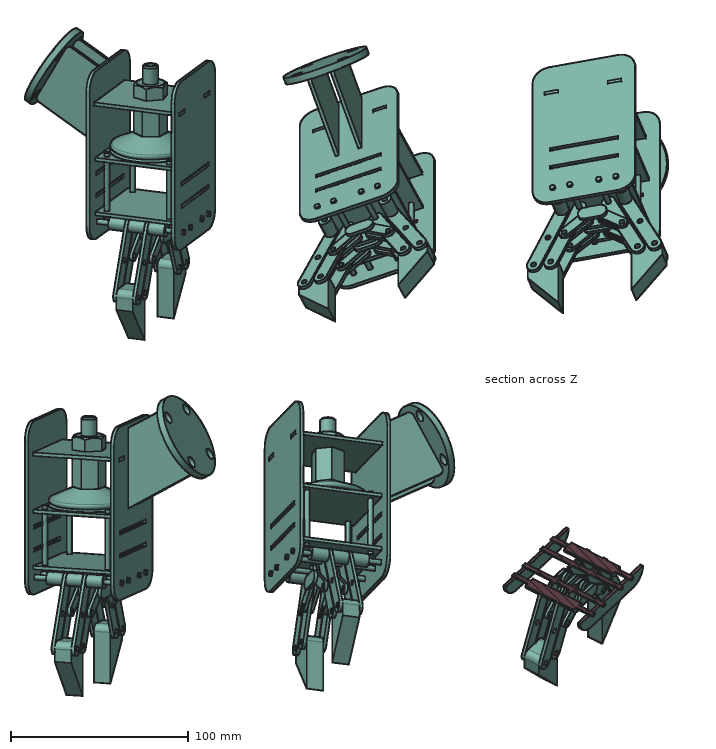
import cadquery as cq
import math

sheet = 2.0
pin_dia = 3.0
tilt = 30.0

frame_width = 54.0
side_depth = 60.0
side_bottom = -10.5
side_height = 99.5
side_corner = 10.0
inner_half = frame_width / 2 - sheet
top_plate_depth = 45.0
top_plate_y = -0.5
top_plate_bottom = 69.2
tenon_length = 8.0
top_plate_top = top_plate_bottom + sheet
slot_length = 40.0
slot_y = 0.25
slot_heights = (15.0, 28.2)

flange_dia = 50.0
flange_thickness = 4.0
flange_face_x = -60.77
flange_face_z = 82.67
flange_hole_dia = 6.5
flange_hole_pitch = 28.3
bracket_width = 40.0
bracket_corner = 3.0
bracket_spacing = 14.0

actuator_x = -0.25
actuator_y = 0.2
stem_dia = 9.0
stem_top = 89.6
stem_chamfer = 1.0
stem_bore = 5.0
nut_height = 8.0
nut_flats = 17.2
nut_turn = 38.0
nut_face_dia = 16.0
nut_chamfer = 1.2
body_flats = 16.6
body_turn = 24.0
body_bottom = 49.6
diaphragm_dia = 45.4
rim_top = 43.3
rim_bottom = 40.6
rim_bulge = 0.7
waist_dia = 41.8
waist_z = 40.0
foot_dia = 45.8
lip_edge = 0.3

carriage_size = 48.0
carriage_y = 0.2
carriage_top = 38.8
carriage_plate_gap = 30.2
rod_pitch = 38.0
rod_proud = 2.1
rod_tail = 1.5
carriage_bottom = carriage_top - carriage_plate_gap - 2 * sheet

grip_y = 0.5
axle_z = -0.8
axle_length = 56.2
inner_axle = 8.5
pivot_pitch = 10.0
link_length = 40.0
link_angle = 25.0
link_radius = 4.0
link_x = 6.0
tube_length = 34.0
tube_dia = 7.5
jaw_width = 2 * link_x - sheet
jaw_heel = 7.5
jaw_reach = 29.5
push_radius = 3.0
lug_radius = 4.0
lug_y = 4.4
lug_z = -9.2

half_side = math.radians(30)


def hexagon(flats, height, bottom, turn):
    """Hexagonal prism centred on the z axis, with a corner at angle `turn`."""
    corners = flats / math.cos(half_side)
    prism = cq.Workplane("XY").polygon(6, corners).extrude(height)
    return prism.rotate((0, 0, 0), (0, 0, 1), turn).translate((0, 0, bottom))


def bar(start, end, radius, x_middle, length=sheet):
    """Round-ended bar between two (y, z) points, `length` thick along x."""
    dy = end[0] - start[0]
    dz = end[1] - start[1]
    span = math.hypot(dy, dz)
    blank = cq.Workplane("YZ").slot2D(span + 2 * radius, 2 * radius).extrude(length / 2, both=True)
    blank = blank.rotate((0, 0, 0), (1, 0, 0), math.degrees(math.atan2(dz, dy)))
    return blank.translate((x_middle, (start[0] + end[0]) / 2, (start[1] + end[1]) / 2))


def rod_x(y, z, dia, length):
    """Cylinder along x, centred on x = 0."""
    return cq.Workplane("YZ").center(y, z).circle(dia / 2).extrude(length / 2, both=True)


def make_side_plate(x_middle):
    plate = cq.Workplane("XY").box(sheet, side_depth, side_height).edges("|X").fillet(side_corner)
    plate = plate.translate((x_middle, 0, side_bottom + side_height / 2))
    for z in slot_heights:
        plate = plate.cut(cq.Workplane("XY").box(sheet, slot_length, sheet).translate((x_middle, slot_y, z)))
    return plate


def make_flange():
    """Drilled disc and two bracket plates joining it to the left side plate."""
    face = cq.Plane(
        origin=(flange_face_x, 0, flange_face_z),
        xDir=(0, 1, 0),
        normal=(math.cos(math.radians(tilt)), 0, -math.sin(math.radians(tilt))),
    )
    disc = cq.Workplane(face).circle(flange_dia / 2).extrude(flange_thickness)
    holes = (
        cq.Workplane(face)
        .rect(flange_hole_pitch, flange_hole_pitch, forConstruction=True)
        .vertices()
        .circle(flange_hole_dia / 2)
        .extrude(flange_thickness)
    )
    flange = disc.cut(holes)

    bracket_length = 2 * bracket_width
    inboard = cq.Workplane("XY").box(frame_width, side_depth, 2 * side_height)
    inboard = inboard.translate((0, 0, top_plate_bottom))
    for y in (-bracket_spacing / 2, bracket_spacing / 2):
        bracket = (
            cq.Workplane(face)
            .workplane(offset=flange_thickness)
            .center(y, 0)
            .rect(sheet, bracket_width)
            .extrude(bracket_length)
            .edges("|Y")
            .fillet(bracket_corner)
        )
        flange = flange.union(bracket.cut(inboard))
    return flange


def make_top_plate():
    """Plate between the side plates, with end tenons flush with their outer faces."""
    plate = cq.Workplane("XY").box(2 * inner_half, top_plate_depth, sheet)
    tenon_y = (top_plate_depth - tenon_length) / 2
    for y in (-tenon_y, tenon_y):
        plate = plate.union(cq.Workplane("XY").box(frame_width, tenon_length, sheet).translate((0, y, 0)))
    plate = plate.translate((0, top_plate_y, top_plate_bottom + sheet / 2))
    stem_hole = cq.Workplane("XY").workplane(offset=top_plate_bottom).center(actuator_x, actuator_y)
    return plate.cut(stem_hole.circle(stem_dia / 2).extrude(sheet))


def make_actuator():
    """Stem on a hexagonal body that flares into a round diaphragm, with its nut."""
    neck = body_flats / 2
    rim = diaphragm_dia / 2
    foot = foot_dia / 2
    waist = waist_dia / 2
    diaphragm = (
        cq.Workplane("XZ")
        .moveTo(0, carriage_top)
        .lineTo(foot, carriage_top)
        .lineTo(foot, carriage_top + lip_edge)
        .lineTo(waist, waist_z)
        .lineTo(rim - rim_bulge, rim_bottom)
        .threePointArc((rim, (rim_bottom + rim_top) / 2), (rim - rim_bulge, rim_top))
        .lineTo(neck, body_bottom)
        .lineTo(0, body_bottom)
        .close()
        .revolve(360, (0, 0, 0), (0, 1, 0))
    )
    body = hexagon(body_flats, top_plate_bottom - body_bottom, body_bottom, body_turn)
    stem = cq.Workplane("XY").workplane(offset=top_plate_bottom).circle(stem_dia / 2)
    stem = stem.extrude(stem_top - top_plate_bottom).faces(">Z").chamfer(stem_chamfer)
    bore = cq.Workplane("XY").workplane(offset=carriage_top).circle(stem_bore / 2)
    bore = bore.extrude(stem_top - carriage_top)
    actuator = diaphragm.union(body).union(stem).union(make_nut()).cut(bore)
    return actuator.translate((actuator_x, actuator_y, 0))


def make_nut():
    """Hexagonal nut with a chamfered crown, seated on the top plate."""
    corner_radius = nut_flats / 2 / math.cos(half_side)
    face_radius = nut_face_dia / 2
    crown = (
        cq.Workplane("XZ")
        .polyline([
            (stem_dia / 2, 0),
            (corner_radius, 0),
            (corner_radius, nut_height - nut_chamfer),
            (face_radius, nut_height),
            (stem_dia / 2, nut_height),
        ])
        .close()
        .revolve(360, (0, 0, 0), (0, 1, 0))
    )
    nut = hexagon(nut_flats, nut_height, 0, nut_turn).intersect(crown)
    return nut.translate((0, 0, top_plate_top))


def make_carriage():
    carriage = cq.Workplane("XY")
    for bottom in (carriage_bottom, carriage_top - sheet):
        plate = cq.Workplane("XY").workplane(offset=bottom).rect(carriage_size, carriage_size).extrude(sheet)
        carriage = carriage.union(plate)
    rods = (
        cq.Workplane("XY")
        .workplane(offset=carriage_bottom - rod_tail)
        .rect(rod_pitch, rod_pitch, forConstruction=True)
        .vertices()
        .circle(pin_dia / 2)
        .extrude(carriage_top + rod_proud - carriage_bottom + rod_tail)
    )
    return carriage.union(rods).translate((0, carriage_y, 0))


def axle_positions():
    return [(inner_axle, axle_z), (inner_axle + pivot_pitch, axle_z)]


def make_axles():
    """The two axles of the +y gripper, measured from the closing plane."""
    axles = cq.Workplane("XY")
    for y, z in axle_positions():
        axles = axles.union(rod_x(y, z, pin_dia, axle_length))
    return axles


def make_jaw(inner_y, outer_y, pivot_z):
    """Blade under the two jaw pivots, rounded round them and pointed below."""
    inner_face = inner_y - link_radius
    outer_face = outer_y + link_radius
    top = pivot_z + link_radius
    reach = link_radius / math.sqrt(2)
    return (
        cq.Workplane("YZ")
        .moveTo(inner_face, pivot_z)
        .threePointArc((inner_y - reach, pivot_z + reach), (inner_y, top))
        .lineTo(outer_y, top)
        .threePointArc((outer_y + reach, pivot_z + reach), (outer_face, pivot_z))
        .lineTo(outer_face, pivot_z - jaw_heel)
        .lineTo(inner_face, pivot_z - jaw_reach)
        .close()
        .extrude(jaw_width / 2, both=True)
    )


def make_gripper():
    """Gripper on the +y side, measured from the closing plane."""
    lean = math.radians(link_angle)
    pivots = []
    middles = []
    for y, z in axle_positions():
        pivots.append((y + link_length * math.sin(lean), z - link_length * math.cos(lean)))
        middles.append((y + link_length / 2 * math.sin(lean), z - link_length / 2 * math.cos(lean)))

    gripper = make_jaw(pivots[0][0], pivots[1][0], pivots[0][1])
    for x in (-link_x, link_x):
        for axle, pivot in zip(axle_positions(), pivots):
            gripper = gripper.union(bar(axle, pivot, link_radius, x))
        for step in (-sheet, sheet):
            gripper = gripper.union(bar((lug_y, lug_z), middles[0], push_radius, x + step))
    for y, z in pivots + middles:
        gripper = gripper.cut(rod_x(y, z, pin_dia, frame_width))

    outer_y, outer_z = axle_positions()[1]
    gripper = gripper.union(rod_x(outer_y, outer_z, tube_dia, tube_length))
    return gripper.union(make_axles())


def on_both_sides(half):
    """The +y half together with its mirror image, set about the closing plane."""
    return half.union(half.mirror("XZ")).translate((0, grip_y, 0))


def make_linkage():
    """Both grippers, joined through their push links by four lugs."""
    linkage = on_both_sides(make_gripper())
    for link_side in (-link_x, link_x):
        for step in (-2 * sheet, 2 * sheet):
            lug = bar((-lug_y, lug_z), (lug_y, lug_z), lug_radius, link_side + step)
            linkage = linkage.union(lug.translate((0, grip_y, 0)))
    return linkage


axles = on_both_sides(make_axles())
top_plate = make_top_plate()
side_x = inner_half + sheet / 2
flange_side = make_side_plate(-side_x).union(make_flange()).cut(axles).cut(top_plate)
plain_side = make_side_plate(side_x).cut(axles).cut(top_plate)
actuator = make_actuator()
carriage = make_carriage()
linkage = make_linkage()

result = cq.Compound.makeCompound([
    flange_side.solids().val(),
    plain_side.solids().val(),
    top_plate.solids().val(),
    actuator.solids().val(),
    carriage.solids().val(),
    linkage.solids().val(),
])